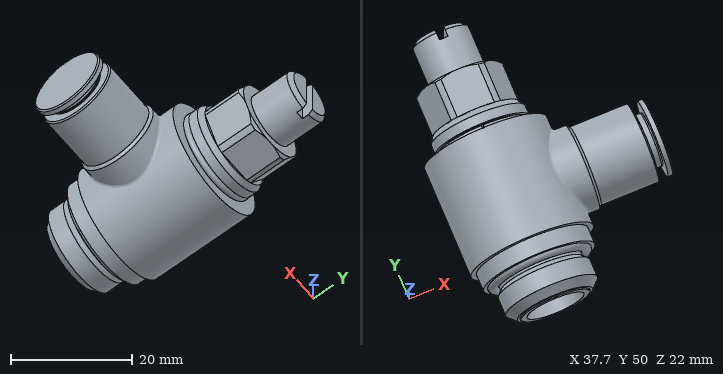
import cadquery as cq
import math


BARREL_R = 11.0
BARREL_START = 10.0
BARREL_END = 30.0
BRANCH_Y = (BARREL_START + BARREL_END) / 2
ROOT_R = 7.5
ROOT_END = 13.6
ROOT_CHAMFER = 0.5
ROOT_FILLET = 0.5
SOCKET_R = ROOT_R - ROOT_CHAMFER
SOCKET_END = 24.1
SOCKET_CHAMFER = 0.25
LIP_R = 5.05
LIP_LENGTH = 0.2
SLEEVE_R = 4.75
SLEEVE_TAPER_START = 25.3
SLEEVE_TAPER = 0.15
FLANGE_START = 25.6
FLANGE_R = 6.75
FLANGE_END = 26.7
FLANGE_CHAMFER = 0.25

SHANK_R = 7.75
SPIGOT_R = 6.3
SPIGOT_LENGTH = 0.2
SPIGOT_TAPER = 0.15
THREAD_R = 8.25
THREAD_CHAMFER = 1.5
THREAD_END = 5.8
RELIEF_R = 7.35
RELIEF_CHAMFER = THREAD_R - RELIEF_R
COLLAR_R = 10.0
COLLAR_START = 7.0
SEAL_SECTION_R = 0.95
CAP_START = 31.35
CAP_CHAMFER_START = 33.1
CAP_R = 8.45
HEX_START = 34.2
HEX_END = 41.7
HEX_FLATS = 14.0
HEX_CORNER_R = 7.75
HEX_TOP_R = 7.05
HEX_TOP_BEVEL = 0.5
HEAD_R = 5.0
HEAD_END = 50.0
HEAD_CHAMFER = 0.8
SLOT_WIDTH = 1.5
SLOT_DEPTH = 2.05

WIRE_R = 0.6
WIRE_CENTRE_R = 7.95
WIRE_Y = BARREL_END + WIRE_R
WIRE_GAP = 0.3

BORE_R = 5.1
BORE_DEPTH = 15.0
INNER_BORE_R = 3.25
INNER_BORE_DEPTH = 20.0


def cylinder_along_y(radius, start, end):
    """Solid cylinder on the bolt axis between two Y positions."""
    return cq.Workplane("XZ", origin=(0, start, 0)).circle(radius).extrude(start - end)


def revolve_about_y(profile):
    """Full turn of an XY profile about the bolt axis."""
    return profile.close().revolve(360, (0, 0, 0), (0, 1, 0))


def make_branch():
    """Turned branch with its push-in sleeve, starting on the barrel axis."""
    profile = (
        cq.Workplane("XY", origin=(0, BRANCH_Y, 0))
        .lineTo(0, ROOT_R)
        .lineTo(ROOT_END - ROOT_CHAMFER, ROOT_R)
        .lineTo(ROOT_END, SOCKET_R)
        .lineTo(SOCKET_END - SOCKET_CHAMFER, SOCKET_R)
        .lineTo(SOCKET_END, SOCKET_R - SOCKET_CHAMFER)
        .lineTo(SOCKET_END, LIP_R)
        .lineTo(SOCKET_END + LIP_LENGTH, LIP_R)
        .lineTo(SOCKET_END + LIP_LENGTH, SLEEVE_R)
        .lineTo(SLEEVE_TAPER_START, SLEEVE_R)
        .lineTo(FLANGE_START, SLEEVE_R - SLEEVE_TAPER)
        .lineTo(FLANGE_START, FLANGE_R)
        .lineTo(FLANGE_END - FLANGE_CHAMFER, FLANGE_R)
        .lineTo(FLANGE_END, FLANGE_R - FLANGE_CHAMFER)
        .lineTo(FLANGE_END, 0)
        .close()
    )
    return profile.revolve(360, (0, 0, 0), (1, 0, 0))


def make_housing():
    """Barrel and branch, filleted where they meet and bored for the shank."""
    barrel = cylinder_along_y(BARREL_R, BARREL_START, BARREL_END)
    body = barrel.union(make_branch())
    joint = cq.selectors.BoxSelector(
        (BARREL_R / 2, BRANCH_Y - ROOT_R, -BARREL_R),
        (BARREL_R, BRANCH_Y + ROOT_R, BARREL_R),
    )
    body = body.edges(joint).fillet(ROOT_FILLET)
    return body.cut(cylinder_along_y(SHANK_R, BARREL_START, BARREL_END))


def make_turned_core():
    """Threaded end, seal, collar, shank and cap as one turned shape."""
    seal_outer_r = RELIEF_R + 2 * SEAL_SECTION_R
    profile = (
        cq.Workplane("XY")
        .lineTo(SPIGOT_R - SPIGOT_TAPER, 0)
        .lineTo(SPIGOT_R, SPIGOT_LENGTH)
        .lineTo(THREAD_R - THREAD_CHAMFER, SPIGOT_LENGTH)
        .lineTo(THREAD_R, SPIGOT_LENGTH + THREAD_CHAMFER)
        .lineTo(THREAD_R, THREAD_END - RELIEF_CHAMFER)
        .lineTo(RELIEF_R, THREAD_END)
        .lineTo(RELIEF_R, COLLAR_START)
        .threePointArc(
            (RELIEF_R + SEAL_SECTION_R, COLLAR_START - SEAL_SECTION_R),
            (seal_outer_r, COLLAR_START),
        )
        .lineTo(COLLAR_R, COLLAR_START)
        .lineTo(COLLAR_R, BARREL_START)
        .lineTo(SHANK_R, BARREL_START)
        .lineTo(SHANK_R, CAP_START)
        .lineTo(CAP_R, CAP_START)
        .lineTo(CAP_R, CAP_CHAMFER_START)
        .lineTo(HEX_CORNER_R, HEX_START)
        .lineTo(0, HEX_START)
    )
    return revolve_about_y(profile)


def make_hexagon():
    """Hexagon with flats facing up and down, its corners turned and its top bevelled."""
    corner_diameter = HEX_FLATS / math.cos(math.pi / 6)
    prism = (
        cq.Workplane("XZ", origin=(0, HEX_START, 0))
        .polygon(6, corner_diameter)
        .extrude(HEX_START - HEX_END)
    )
    envelope = revolve_about_y(
        cq.Workplane("XY")
        .moveTo(0, HEX_START)
        .lineTo(HEX_CORNER_R, HEX_START)
        .lineTo(HEX_CORNER_R, HEX_END - HEX_TOP_BEVEL)
        .lineTo(HEX_TOP_R, HEX_END)
        .lineTo(0, HEX_END)
    )
    return prism.intersect(envelope)


def make_slotted_head():
    """Round end with a chamfered rim and a screwdriver slot along Z."""
    head = cylinder_along_y(HEAD_R, HEX_END, HEAD_END).faces(">Y").chamfer(HEAD_CHAMFER)
    slot = cq.Workplane("XY").box(SLOT_WIDTH, 2 * SLOT_DEPTH, 2 * HEAD_R)
    return head.cut(slot.translate((0, HEAD_END, 0)))


def make_wire_ring():
    """Round-wire ring with a narrow gap on its upper side, beside X = 0."""
    gap_angle = math.degrees(WIRE_GAP / WIRE_CENTRE_R)
    ring = (
        cq.Workplane("XY")
        .center(WIRE_CENTRE_R, WIRE_Y)
        .circle(WIRE_R)
        .revolve(360 - gap_angle, (-WIRE_CENTRE_R, 0, 0), (-WIRE_CENTRE_R, 1, 0))
    )
    return ring.rotate((0, 0, 0), (0, 1, 0), -90)


def make_bolt():
    """Complete bolt, bored from its threaded end."""
    bolt = make_turned_core().union(make_hexagon()).union(make_slotted_head())
    bolt = bolt.union(make_wire_ring())
    bolt = bolt.cut(cylinder_along_y(BORE_R, 0, BORE_DEPTH))
    return bolt.cut(cylinder_along_y(INNER_BORE_R, 0, INNER_BORE_DEPTH))


housing = make_housing()
bolt = make_bolt()

result = cq.Compound.makeCompound([housing.solids().val(), bolt.solids().val()])